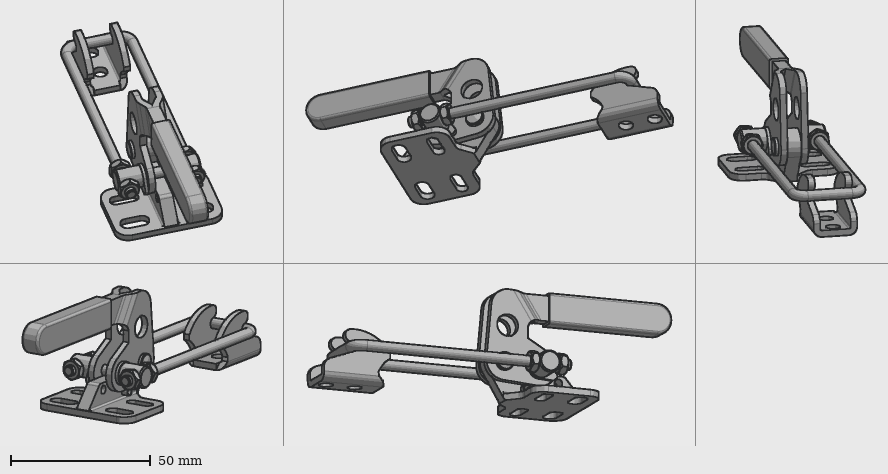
import cadquery as cq
import math


sheet = 2.5
bend_fillet = 0.7
rod_d = 4.0
rod_r = rod_d / 2
pin_d = 4.0
leg_y = 12.3
pivot = (70.7, 13.8)
trunnion_at = (84.3, 12.8)
rod_z = trunnion_at[1]
upright_t = 5.2
lever_in = upright_t / 2
lever_out = lever_in + sheet

strike_half_w = 8.0
strike_foot_len = 24.0
strike_wall_end_x = 25.5
strike_wall_top_z = 19.6
strike_hole_d = 5.2
strike_hole_xs = (4.0, 15.0)
hook_x = 10.1

bolt_end_x = 93.2
bolt_bend_r = 4.1
bolt_chamfer = 0.4

trunnion_d = 8.0
trunnion_half_len = 15.5
trunnion_chamfer = 0.5
flange_t = 1.2
flange_r = 4.4
lug_r = 1.8
lug_reach = 4.6
lug_drop = 2.9

nut_flats = 7.0
nut_t = 3.0
nut_chamfer = 0.7
nut_turns = {-1: 25, 1: 7}

foot_left, foot_right = 76.7, 102.8
foot_half_w = 20.0
foot_corner_r = 5.0
foot_tip_x = 71.9
neck_r = 3.7
neck_end_y = 9.4
slot_sizes = ((83.2, 4.2), (96.3, 5.2))
slot_y, slot_len = 12.0, 10.6
crown = (70.4, 14.2)
crown_r = 6.0
shelf_z = trunnion_at[1] - pin_d / 2
shelf_end_x = 94.9
shelf_corner_r = 2.0
upright_end_x = 102.1
pin_hole = (92.6, 8.2)
pin_hole_d = 3.0
stop_tube = (79.5, 4.8)
stop_tube_d = 3.0
stop_tube_bore = 2.2

rivet_face_r = 3.0
rivet_bevel = 0.3
rivet_head_t = 1.4
rivet_point_rise = 0.4

lever_end_r = 6.8
shoulder = (72.3, 34.0)
shoulder_r = 6.5
window = (72.0, 27.2)
window_d = 8.0
waist_x = 80.0
waist_low_z, waist_high_z = 23.2, 27.5
arm_top_z, arm_bottom_z = 40.2, 30.8
arm_start_x = 79.7
throat_x = 85.1
throat_mid = (81.5, 29.5)
joggle_top_x = 75.5
joggle_run = 3.5
joggle_lean = 0.64
joggle_outer_r = sheet + bend_fillet
joggle_arm_r = 1.6

grip_x = 89.0
grip_end_x = 136.2
grip_bottom_z, grip_top_z = 29.8, 41.1
grip_half_w = 3.5
grip_fillet = 1.0


def outer_tangent(c1, r1, c2, r2, side):
    """Ends of the line touching two circles; side +1 is left of the way from c1 to c2."""
    heading = math.atan2(c2[1] - c1[1], c2[0] - c1[0])
    distance = math.dist(c1, c2)
    normal = heading + side * math.acos((r1 - r2) / distance)
    nx, nz = math.cos(normal), math.sin(normal)
    return (c1[0] + r1 * nx, c1[1] + r1 * nz), (c2[0] + r2 * nx, c2[1] + r2 * nz)


def on_circle(center, radius, degrees):
    angle = math.radians(degrees)
    return (center[0] + radius * math.cos(angle), center[1] + radius * math.sin(angle))


def cross_cylinder(at, diameter, y_from, y_to):
    """Cylinder along Y, centred on (X, Z)."""
    plane = cq.Workplane("XZ", origin=(at[0], y_from, at[1]))
    return plane.circle(diameter / 2).extrude(y_from - y_to)


def both_sides(body):
    return body.union(body.mirror("XZ"))


def make_strike_plate():
    bend_r = sheet + bend_fillet
    height = 2 * strike_wall_top_z
    outer = (
        cq.Workplane("YZ")
        .center(0, height / 2)
        .rect(2 * strike_half_w, height)
        .extrude(strike_wall_end_x)
        .edges("|X and <Z")
        .fillet(bend_r)
    )
    inner_half_w = strike_half_w - sheet
    inner = (
        cq.Workplane("YZ")
        .center(0, sheet + height / 2)
        .rect(2 * inner_half_w, height)
        .extrude(strike_wall_end_x)
        .edges("|X and <Z")
        .fillet(bend_fillet)
    )
    outline = (
        cq.Workplane("XZ")
        .lineTo(0, 4.2)
        .threePointArc((0.5, 6.7), (2.2, 8.0))
        .lineTo(hook_x, rod_z - rod_r)
        .threePointArc((hook_x + rod_r, rod_z), (hook_x, rod_z + rod_r))
        .threePointArc((8.2, 17.2), (10.1, 19.5))
        .threePointArc((18.4, 18.1), (strike_wall_end_x, 12.0))
        .lineTo(strike_wall_end_x, 9.8)
        .threePointArc((22.6, 7.4), (21.0, 4.6))
        .lineTo(21.2, bend_r)
        .lineTo(strike_foot_len, 0)
        .close()
        .extrude(strike_half_w, both=True)
    )
    foot_half_w_flat = strike_half_w - bend_r
    foot = cq.Workplane("XY").box(
        strike_foot_len, 2 * foot_half_w_flat, sheet, centered=(False, True, False)
    )
    holes = (
        cq.Workplane("XY")
        .pushPoints([(x, 0) for x in strike_hole_xs])
        .circle(strike_hole_d / 2)
        .extrude(sheet)
    )
    return outer.cut(inner).intersect(outline).union(foot).cut(holes)


def make_u_bolt():
    straight_x = hook_x + bolt_bend_r
    straight_y = leg_y - bolt_bend_r
    elbow = bolt_bend_r * (1 - math.sqrt(0.5))
    path = (
        cq.Workplane("XY", origin=(0, 0, rod_z))
        .moveTo(bolt_end_x, -leg_y)
        .lineTo(straight_x, -leg_y)
        .threePointArc((hook_x + elbow, elbow - leg_y), (hook_x, -straight_y))
        .lineTo(hook_x, straight_y)
        .threePointArc((hook_x + elbow, leg_y - elbow), (straight_x, leg_y))
        .lineTo(bolt_end_x, leg_y)
    )
    wire = cq.Workplane("YZ", origin=(bolt_end_x, -leg_y, rod_z)).circle(rod_r).sweep(path)
    return wire.faces(">X").chamfer(bolt_chamfer)


def make_flange():
    """Flange with a stop lug against the outer face of the lever plate on the -Y side."""
    x, z = trunnion_at
    lug = (x + lug_reach, z - lug_drop)
    top_a, top_b = outer_tangent(trunnion_at, flange_r, lug, lug_r, 1)
    low_a, low_b = outer_tangent(trunnion_at, flange_r, lug, lug_r, -1)
    tilt = math.degrees(math.atan2(-lug_drop, lug_reach))
    return (
        cq.Workplane("XZ", origin=(0, -lever_out, 0))
        .moveTo(*top_a)
        .lineTo(*top_b)
        .threePointArc(on_circle(lug, lug_r, tilt), low_b)
        .lineTo(*low_a)
        .threePointArc(on_circle(trunnion_at, flange_r, tilt + 180), top_a)
        .close()
        .extrude(flange_t)
    )


def make_trunnion():
    x, z = trunnion_at
    journal = cross_cylinder(trunnion_at, trunnion_d, -lever_out, -trunnion_half_len)
    journal = journal.faces("<Y").chamfer(trunnion_chamfer).union(make_flange())
    other_journal = journal.rotate((x, 0, z), (x, 0, z + 1.4), 180)
    shank = cross_cylinder(trunnion_at, pin_d, -lever_out, lever_out)
    rod_holes = (
        cq.Workplane("YZ", origin=(x - trunnion_d, 0, 0))
        .pushPoints([(-leg_y, rod_z), (leg_y, rod_z)])
        .circle(rod_r)
        .extrude(2 * trunnion_d)
    )
    return shank.union(journal).union(other_journal).cut(rod_holes)


def make_nut(x, y, turn):
    corner_d = nut_flats / math.cos(math.radians(30))
    nut = cq.Workplane("YZ").polygon(6, corner_d).extrude(nut_t)
    envelope = cq.Workplane("YZ").circle(corner_d / 2).extrude(nut_t).edges().chamfer(nut_chamfer)
    bore = cq.Workplane("YZ").circle(rod_r).extrude(nut_t)
    turned = nut.intersect(envelope).cut(bore).rotate((0, 0, 0), (1, 0, 0), turn)
    return turned.translate((x, y, rod_z))


def make_foot():
    neck_arc_x = foot_left - neck_r * (1 - math.sqrt(0.5))
    neck_arc_y = neck_end_y - neck_r * math.sqrt(0.5)
    mid_angle = math.radians(22.5)
    neck_mid = (
        foot_left - neck_r * (1 - math.cos(mid_angle)),
        neck_end_y - neck_r * math.sin(mid_angle),
    )
    tip_x = neck_arc_x - neck_arc_y
    half = (
        cq.Workplane("XY")
        .moveTo(tip_x, 0)
        .lineTo(neck_arc_x, neck_arc_y)
        .threePointArc(neck_mid, (foot_left, neck_end_y))
        .lineTo(foot_left, foot_half_w)
        .lineTo(foot_right, foot_half_w)
        .lineTo(foot_right, 0)
        .close()
        .extrude(sheet)
        .edges("|Z and >Y")
        .fillet(foot_corner_r)
    )
    foot = both_sides(half)
    for x, width in slot_sizes:
        slots = cq.Workplane("XY").pushPoints([(x, -slot_y), (x, slot_y)])
        foot = foot.cut(slots.slot2D(slot_len, width, 90).extrude(sheet))
    return foot


def front_slant():
    """Ends of the slanted front edge of the base, from the rounded top to the underside."""
    return outer_tangent(crown, crown_r, (foot_tip_x, 0), 0, -1)


def make_upright():
    slant_top, slant_foot = front_slant()
    back_x = crown[0] + crown_r
    return (
        cq.Workplane("XZ")
        .moveTo(*slant_foot)
        .lineTo(*slant_top)
        .threePointArc(on_circle(crown, crown_r, 90), (back_x, crown[1]))
        .lineTo(back_x, shelf_z)
        .lineTo(shelf_end_x, shelf_z)
        .lineTo(upright_end_x, sheet)
        .lineTo(upright_end_x, 0)
        .close()
        .extrude(upright_t / 2, both=True)
        .edges(cq.selectors.NearestToPointSelector((shelf_end_x, 0, shelf_z)))
        .fillet(shelf_corner_r)
    )


def make_rivet():
    """Pivot rivet with a shallow pointed head on each end."""
    face = lever_out
    head_r = rivet_face_r + rivet_bevel
    half = (
        cq.Workplane("XY")
        .lineTo(pin_d / 2, 0)
        .lineTo(pin_d / 2, face)
        .lineTo(head_r, face)
        .lineTo(head_r, face + rivet_head_t - rivet_bevel)
        .lineTo(rivet_face_r, face + rivet_head_t)
        .lineTo(0, face + rivet_head_t + rivet_point_rise)
        .close()
        .revolve(360, (0, 0, 0), (0, 1, 0))
    )
    return both_sides(half).translate((pivot[0], 0, pivot[1]))


def make_base():
    foot = make_foot()
    upright = make_upright()
    slant_top, slant_foot = front_slant()
    front_waste = (
        cq.Workplane("XZ")
        .moveTo(*slant_foot)
        .lineTo(*slant_top)
        .lineTo(slant_top[0], 0)
        .close()
        .extrude(foot_half_w, both=True)
    )
    fold_mid = bend_fillet * (1 - math.sqrt(0.5))
    fold = (
        cq.Workplane("YZ", origin=(foot_tip_x - bend_fillet, 0, 0))
        .moveTo(0, sheet)
        .lineTo(upright_t / 2 + bend_fillet, sheet)
        .threePointArc(
            (upright_t / 2 + fold_mid, sheet + fold_mid),
            (upright_t / 2, sheet + bend_fillet),
        )
        .lineTo(0, sheet + bend_fillet)
        .close()
        .extrude(upright_end_x - foot_tip_x)
    )
    base = foot.union(upright).union(both_sides(fold)).cut(front_waste)
    base = base.union(cross_cylinder(stop_tube, stop_tube_d, -lever_out, lever_out))
    for at, diameter in ((pin_hole, pin_hole_d), (stop_tube, stop_tube_bore)):
        base = base.cut(cross_cylinder(at, diameter, -lever_out, lever_out))
    return base.union(make_rivet())


def make_lever_sheet():
    """One lever plate joggled inwards to the mid-plane, along lines that lean forward."""
    height = grip_top_z
    top_z = shoulder[1] + shoulder_r
    kink = joggle_top_x + joggle_lean * top_z
    front = pivot[0] - 2 * lever_end_r
    back = grip_end_x
    bend_shift = sheet * math.tan(math.atan2(lever_in, joggle_run) / 2)
    points = [
        (front, lever_in),
        (kink - bend_shift, lever_in),
        (kink - bend_shift + joggle_run, 0),
        (back, 0),
        (back, sheet),
        (kink + joggle_run, sheet),
        (kink, lever_out),
        (front, lever_out),
    ]
    wire = cq.Workplane("XY").polyline(points).close().wires().val()
    rise = cq.Vector(-joggle_lean * height, 0, height)
    plate = cq.Workplane(cq.Solid.extrudeLinear(wire, [], rise))
    corner_radii = (
        ((kink - bend_shift, lever_in), bend_fillet),
        ((kink, lever_out), joggle_outer_r),
        ((kink + joggle_run, sheet), joggle_arm_r),
    )
    for (x, y), radius in corner_radii:
        middle = (x + rise.x / 2, y, rise.z / 2)
        plate = plate.edges(cq.selectors.NearestToPointSelector(middle)).fillet(radius)
    return plate


def make_lever_outline():
    front_low, front_high = outer_tangent(pivot, lever_end_r, shoulder, shoulder_r, 1)
    keel_front, keel_back = outer_tangent(pivot, lever_end_r, trunnion_at, lever_end_r, -1)
    waist = (waist_x, waist_low_z)
    back_low, _ = outer_tangent(trunnion_at, lever_end_r, waist, 0, -1)
    inside_grip_x = grip_x + 1.4
    return (
        cq.Workplane("XZ")
        .moveTo(*front_low)
        .lineTo(*front_high)
        .threePointArc(on_circle(shoulder, shoulder_r, 135), on_circle(shoulder, shoulder_r, 90))
        .lineTo(arm_start_x, arm_top_z)
        .lineTo(inside_grip_x, arm_top_z)
        .lineTo(inside_grip_x, arm_bottom_z)
        .lineTo(throat_x, arm_bottom_z)
        .threePointArc(throat_mid, (waist_x, waist_high_z))
        .lineTo(*waist)
        .lineTo(*back_low)
        .threePointArc(on_circle(trunnion_at, lever_end_r, -30), keel_back)
        .lineTo(*keel_front)
        .threePointArc(on_circle(pivot, lever_end_r, -135), front_low)
        .close()
        .extrude(lever_out, both=True)
    )


def make_grip():
    height = grip_top_z - grip_bottom_z
    round_x = grip_end_x - height / 2
    return (
        cq.Workplane("XZ")
        .moveTo(grip_x, grip_bottom_z)
        .lineTo(round_x, grip_bottom_z)
        .threePointArc((grip_end_x, grip_bottom_z + height / 2), (round_x, grip_top_z))
        .lineTo(grip_x, grip_top_z)
        .close()
        .extrude(grip_half_w, both=True)
        .faces("|Y")
        .edges("not(<X)")
        .fillet(grip_fillet)
    )


def make_lever():
    lever = both_sides(make_lever_sheet()).intersect(make_lever_outline())
    for at, diameter in ((window, window_d), (pivot, pin_d), (trunnion_at, pin_d)):
        lever = lever.cut(cross_cylinder(at, diameter, -lever_out, lever_out))
    return lever.union(make_grip())


strike_plate = make_strike_plate()
u_bolt = make_u_bolt()
trunnion = make_trunnion()
base = make_base()
lever = make_lever()

nuts = []
for side, turn in nut_turns.items():
    front_x = trunnion_at[0] - trunnion_d / 2 - nut_t
    back_x = trunnion_at[0] + trunnion_d / 2
    for x in (front_x, back_x):
        nuts.append(make_nut(x, side * leg_y, turn))

result = cq.Compound.makeCompound([
    strike_plate.val(),
    u_bolt.val(),
    trunnion.val(),
    base.val(),
    lever.val(),
    *[nut.val() for nut in nuts],
])